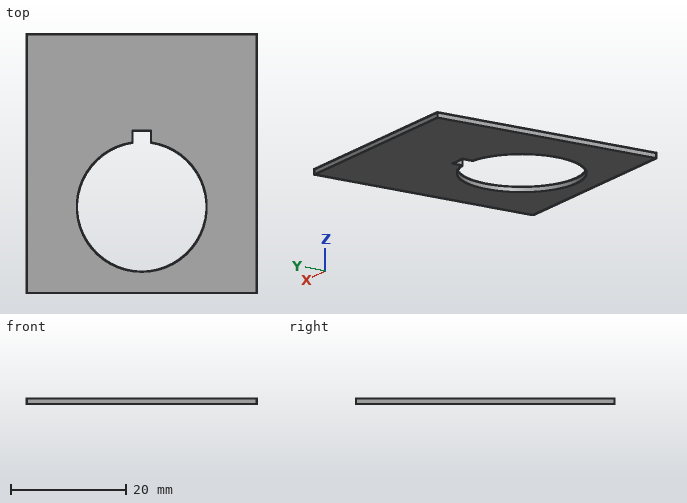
import cadquery as cq

plate_width = 40.0
plate_length = 45.0
plate_thickness = 1.0

legend_strip_length = 15.0
button_field_length = plate_length - legend_strip_length
hole_center_y = -plate_length / 2 + button_field_length / 2

hole_diameter = 22.5
key_width = 3.2
key_reach = 13.2


def make_plate():
    return cq.Workplane("XY").box(plate_width, plate_length, plate_thickness)


def make_keyed_hole_cutter():
    """Round hole with a rectangular key notch on its +Y side, through the sheet."""
    plane = cq.Workplane("XY", origin=(0, hole_center_y, -plate_thickness / 2))
    round_hole = plane.circle(hole_diameter / 2).extrude(plate_thickness)
    key_notch = plane.center(0, key_reach / 2).rect(key_width, key_reach).extrude(plate_thickness)
    return round_hole.union(key_notch)


result = make_plate().cut(make_keyed_hole_cutter())